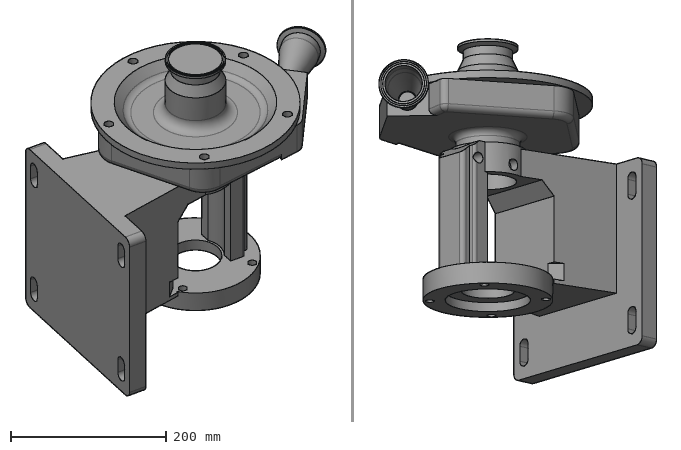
import cadquery as cq
import math


PLATE_SIZE = 250.0
PLATE_THICKNESS = 25.0
PLATE_BACK_Y = -180.0
PLATE_FRONT_Y = PLATE_BACK_Y + PLATE_THICKNESS
PLATE_CORNER_RADIUS = 10.0
SLOT_WIDTH = 16.0
SLOT_LENGTH = 36.0
SLOT_PITCH_X = 210.0
SLOT_PITCH_Z = 180.0

RING_RADIUS = 50.0
RING_TOP_Z = 3.0
RING_BOTTOM_Z = -36.7
BORE_RADIUS = 37.2
RING_HOLE_DIAMETER = 15.0
RING_HOLE_Z = -24.0
MOTOR_FLANGE_RADIUS = 83.7
MOTOR_FLANGE_TOP_Z = -167.0
MOTOR_FLANGE_THICKNESS = 28.0
MOTOR_FLANGE_BOTTOM_Z = MOTOR_FLANGE_TOP_Z - MOTOR_FLANGE_THICKNESS
MOTOR_BORE_RADIUS = 34.0
MOTOR_BOLT_CIRCLE_RADIUS = 75.0
MOTOR_BOLT_COUNT = 4
MOTOR_BOLT_START_ANGLE = 45.0
MOTOR_BOLT_DIAMETER = 11.5
MOTOR_SPIGOT_RADIUS = 55.0
MOTOR_SPIGOT_DEPTH = 12.0

WEB_PLATE_HALF_WIDTH = 75.0
WEB_RING_HALF_WIDTH = 47.8
WEB_RING_Y = -14.6
WEB_INNER_Y = -63.3
WEB_BOTTOM_Z = -172.7
WEB_CHAMFER_Y = 17.7
WEB_CHAMFER_Z = 19.3
BOLT_RELIEF_DEPTH = 14.5
BOLT_RELIEF_TOP_Z = -144.0

COLUMN_INNER_Y = 31.6
COLUMN_HALF_WIDTH = 35.0
COLUMN_STEP_Y = 54.0
COLUMN_STEP_FILLET = 4.2
COLUMN_RIB_HALF_WIDTH = 25.0
COLUMN_OUTER_Y = 65.5
COLUMN_RIB_FILLET = 5.9
COLUMN_BEVEL_Y = 19.8
COLUMN_BEVEL_Z = 15.6
COLUMN_HOLE_DIAMETER = 14.2
COLUMN_HOLE_Y = 46.7
COLUMN_HOLE_Z = -20.0

CASING_BOTTOM_Z = 23.2
CASING_TOP_Z = 65.5
CASING_APOTHEM = 114.3
CASING_FIRST_NORMAL = 9.0
CASING_SIDES = 5
CASING_CORNER_RADIUS = 34.0
OUTLET_SIDE_APOTHEM = 120.5
OUTLET_SIDE_CORNER_RADIUS = 10.0
CASING_BOTTOM_FILLET = 8.6
OUTLET_WALL_NORMAL = 54.0
OUTLET_WALL_DISTANCE = 138.9
OUTLET_WALL_CORNER_RADIUS = 20.0
NECK_RADIUS = 41.4
NECK_FLARE_RADIUS = 9.2

FLANGE_RADIUS = 135.0
FLANGE_THICKNESS = 10.0
FLANGE_TOP_Z = CASING_TOP_Z + FLANGE_THICKNESS
FLANGE_BOLT_CIRCLE_RADIUS = 121.6
FLANGE_BOLT_DIAMETER = 12.5
DISH_DEPTH = 16.2
DISH_RIM_RADIUS = 104.8
DISH_FLOOR_RADIUS = 83.4
DISH_CORNER_RADIUS = 14.0
DISH_SLOPE = 45.0

INLET_RADIUS = 39.2
INLET_ROOT_RADIUS = 15.0
INLET_SHOULDER_Z = 110.3
INLET_NECK_RADIUS = 32.0
INLET_NECK_Z = 125.7
INLET_TOP_Z = 144.0
INLET_FERRULE_RADIUS = 39.0
INLET_FERRULE_EDGE = 3.4
INLET_FERRULE_HEIGHT = 7.0
INLET_GROOVE_INNER_RADIUS = 34.7
INLET_GROOVE_OUTER_RADIUS = 37.0
FERRULE_GROOVE_DEPTH = 1.0

OUTLET_DIRECTION = 135.0
OUTLET_FACE_DISTANCE = 109.5
OUTLET_AXIS_OFFSET = 97.0
OUTLET_AXIS_Z = 43.2
OUTLET_STUB_RADIUS = 12.0
OUTLET_STUB_LENGTH = 3.5
OUTLET_SMALL_RADIUS = 13.7
OUTLET_TUBE_RADIUS = 25.8
OUTLET_CONE_END = 67.0
OUTLET_NECK_END = 79.3
OUTLET_FERRULE_RADIUS = 32.0
OUTLET_FERRULE_EDGE = 3.0
OUTLET_LENGTH = 84.3
OUTLET_BORE_RADIUS = 24.0
OUTLET_BORE_DEPTH = 14.6
OUTLET_BORE_THROAT_RADIUS = 21.9
OUTLET_BORE_THROAT_DEPTH = 26.0
OUTLET_BORE_END_RADIUS = 11.0
OUTLET_GROOVE_INNER_RADIUS = 27.0
OUTLET_GROOVE_OUTER_RADIUS = 29.5


def cylinder(radius, bottom_z, top_z):
    return cq.Workplane("XY").workplane(offset=bottom_z).circle(radius).extrude(top_z - bottom_z)


def direction(angle):
    radians = math.radians(angle)
    return math.cos(radians), math.sin(radians)


def line_crossing(first, second):
    """Crossing point of two lines, each given as (normal angle, distance from the axis)."""
    (ax, ay), (bx, by) = direction(first[0]), direction(second[0])
    determinant = ax * by - ay * bx
    x = (first[1] * by - second[1] * ay) / determinant
    y = (ax * second[1] - bx * first[1]) / determinant
    return x, y


def mounting_plate():
    plate = (
        cq.Workplane("XZ", origin=(0, PLATE_BACK_Y, -PLATE_SIZE / 2))
        .rect(PLATE_SIZE, PLATE_SIZE)
        .extrude(-PLATE_THICKNESS)
        .edges("|Y")
        .fillet(PLATE_CORNER_RADIUS)
    )
    slots = (
        cq.Workplane("XZ", origin=(0, PLATE_BACK_Y, -PLATE_SIZE / 2))
        .rect(SLOT_PITCH_X, SLOT_PITCH_Z, forConstruction=True)
        .vertices()
        .slot2D(SLOT_LENGTH, SLOT_WIDTH, 90)
        .extrude(-PLATE_THICKNESS)
    )
    return plate.cut(slots)


def web():
    """Side profile of the web trimmed to its tapered plan, with its two corners cut clear of bolts."""
    profile = (
        cq.Workplane("YZ")
        .moveTo(PLATE_FRONT_Y, 0)
        .lineTo(WEB_RING_Y, 0)
        .lineTo(WEB_RING_Y, RING_BOTTOM_Z)
        .lineTo(WEB_INNER_Y + WEB_CHAMFER_Y, RING_BOTTOM_Z)
        .lineTo(WEB_INNER_Y, RING_BOTTOM_Z - WEB_CHAMFER_Z)
        .lineTo(WEB_INNER_Y, WEB_BOTTOM_Z)
        .lineTo(PLATE_FRONT_Y, WEB_BOTTOM_Z)
        .close()
        .extrude(WEB_PLATE_HALF_WIDTH, both=True)
    )
    plan = (
        cq.Workplane("XY", origin=(0, 0, WEB_BOTTOM_Z))
        .polyline([
            (-WEB_PLATE_HALF_WIDTH, PLATE_FRONT_Y),
            (WEB_PLATE_HALF_WIDTH, PLATE_FRONT_Y),
            (WEB_RING_HALF_WIDTH, WEB_RING_Y),
            (-WEB_RING_HALF_WIDTH, WEB_RING_Y),
        ])
        .close()
        .extrude(-WEB_BOTTOM_Z)
    )
    body = profile.intersect(plan)

    taper = (WEB_PLATE_HALF_WIDTH - WEB_RING_HALF_WIDTH) / (WEB_RING_Y - PLATE_FRONT_Y)
    relief_y = WEB_INNER_Y - BOLT_RELIEF_DEPTH
    relief_x = WEB_RING_HALF_WIDTH + taper * (WEB_RING_Y - relief_y)
    for side in (-1, 1):
        relief = (
            cq.Workplane("XY", origin=(0, 0, MOTOR_FLANGE_TOP_Z))
            .moveTo(side * relief_x, relief_y)
            .lineTo(side * (relief_x - BOLT_RELIEF_DEPTH), WEB_INNER_Y)
            .lineTo(side * relief_x, WEB_INNER_Y)
            .close()
            .extrude(BOLT_RELIEF_TOP_Z - MOTOR_FLANGE_TOP_Z)
        )
        body = body.cut(relief)
    return body


def column():
    height = RING_TOP_Z - MOTOR_FLANGE_TOP_Z
    base = (
        cq.Workplane("XY", origin=(0, 0, MOTOR_FLANGE_TOP_Z))
        .moveTo(-COLUMN_HALF_WIDTH, COLUMN_INNER_Y)
        .lineTo(COLUMN_HALF_WIDTH, COLUMN_INNER_Y)
        .lineTo(COLUMN_HALF_WIDTH, COLUMN_STEP_Y)
        .lineTo(-COLUMN_HALF_WIDTH, COLUMN_STEP_Y)
        .close()
        .extrude(height)
        .edges("|Z and >Y")
        .fillet(COLUMN_STEP_FILLET)
    )
    rib = (
        cq.Workplane("XY", origin=(0, 0, MOTOR_FLANGE_TOP_Z))
        .moveTo(-COLUMN_RIB_HALF_WIDTH, COLUMN_INNER_Y)
        .lineTo(COLUMN_RIB_HALF_WIDTH, COLUMN_INNER_Y)
        .lineTo(COLUMN_RIB_HALF_WIDTH, COLUMN_OUTER_Y)
        .lineTo(-COLUMN_RIB_HALF_WIDTH, COLUMN_OUTER_Y)
        .close()
        .extrude(height)
        .edges("|Z and >Y")
        .fillet(COLUMN_RIB_FILLET)
    )
    bevel = (
        cq.Workplane("YZ")
        .moveTo(COLUMN_OUTER_Y - COLUMN_BEVEL_Y, RING_TOP_Z)
        .lineTo(COLUMN_OUTER_Y, RING_TOP_Z)
        .lineTo(COLUMN_OUTER_Y, RING_TOP_Z - COLUMN_BEVEL_Z)
        .close()
        .extrude(COLUMN_HALF_WIDTH, both=True)
    )
    return base.union(rib).cut(bevel)


def motor_flange():
    """Drilled flange with a centring recess for the motor spigot underneath."""
    flange = cylinder(MOTOR_FLANGE_RADIUS, MOTOR_FLANGE_BOTTOM_Z, MOTOR_FLANGE_TOP_Z)
    bolt_holes = (
        cq.Workplane("XY", origin=(0, 0, MOTOR_FLANGE_BOTTOM_Z))
        .polarArray(MOTOR_BOLT_CIRCLE_RADIUS, MOTOR_BOLT_START_ANGLE, 360, MOTOR_BOLT_COUNT)
        .circle(MOTOR_BOLT_DIAMETER / 2)
        .extrude(MOTOR_FLANGE_THICKNESS)
    )
    bore = cylinder(MOTOR_BORE_RADIUS, MOTOR_FLANGE_BOTTOM_Z, MOTOR_FLANGE_TOP_Z)
    spigot_recess = cylinder(
        MOTOR_SPIGOT_RADIUS, MOTOR_FLANGE_BOTTOM_Z, MOTOR_FLANGE_BOTTOM_Z + MOTOR_SPIGOT_DEPTH
    )
    return flange.cut(bolt_holes).cut(bore).cut(spigot_recess)


def bracket():
    """Plate, web, ring, column and motor flange, bored out around the shaft."""
    ring = cylinder(RING_RADIUS, RING_BOTTOM_Z, RING_TOP_Z)
    bore = cylinder(BORE_RADIUS, MOTOR_FLANGE_TOP_Z, RING_TOP_Z)
    ring_hole = (
        cq.Workplane("YZ")
        .center(0, RING_HOLE_Z)
        .circle(RING_HOLE_DIAMETER / 2)
        .extrude(-RING_RADIUS)
    )
    column_hole = (
        cq.Workplane("YZ")
        .center(COLUMN_HOLE_Y, COLUMN_HOLE_Z)
        .circle(COLUMN_HOLE_DIAMETER / 2)
        .extrude(COLUMN_HALF_WIDTH, both=True)
    )
    upper = ring.union(web()).union(column()).cut(bore).cut(ring_hole).cut(column_hole)
    return mounting_plate().union(upper).union(motor_flange())


def casing_body():
    """Rounded pentagon; the side beside the outlet stands further out than the others."""
    pitch = 360 / CASING_SIDES
    sides = [(CASING_FIRST_NORMAL + pitch * i, CASING_APOTHEM) for i in range(CASING_SIDES)]
    sides[1] = (sides[1][0], OUTLET_SIDE_APOTHEM)
    corners = [line_crossing(sides[i], sides[(i + 1) % CASING_SIDES]) for i in range(CASING_SIDES)]
    body = (
        cq.Workplane("XY", origin=(0, 0, CASING_BOTTOM_Z))
        .polyline(corners)
        .close()
        .extrude(CASING_TOP_Z - CASING_BOTTOM_Z)
    )
    mid_z = (CASING_BOTTOM_Z + CASING_TOP_Z) / 2
    outlet_corner = cq.selectors.NearestToPointSelector((*corners[1], mid_z))
    body = body.edges(outlet_corner).fillet(OUTLET_SIDE_CORNER_RADIUS)
    for corner in corners[:1] + corners[2:]:
        body = body.edges(cq.selectors.NearestToPointSelector((*corner, mid_z))).fillet(CASING_CORNER_RADIUS)
    return body.faces("<Z").edges().fillet(CASING_BOTTOM_FILLET)


def outlet_block():
    face = (OUTLET_DIRECTION, OUTLET_FACE_DISTANCE)
    wall = (OUTLET_WALL_NORMAL, OUTLET_WALL_DISTANCE)
    side = (CASING_FIRST_NORMAL, CASING_APOTHEM)
    inner_side = (CASING_FIRST_NORMAL + 360 / CASING_SIDES, CASING_APOTHEM - CASING_CORNER_RADIUS)
    corner = line_crossing(wall, side)
    return (
        cq.Workplane("XY", origin=(0, 0, CASING_BOTTOM_Z))
        .polyline([
            line_crossing(inner_side, face),
            line_crossing(face, wall),
            corner,
            line_crossing(side, inner_side),
        ])
        .close()
        .extrude(CASING_TOP_Z - CASING_BOTTOM_Z)
        .edges(cq.selectors.NearestToPointSelector((*corner, (CASING_BOTTOM_Z + CASING_TOP_Z) / 2)))
        .fillet(OUTLET_WALL_CORNER_RADIUS)
    )


def neck():
    """Flared neck joining the casing to the ring."""
    flare_z = CASING_BOTTOM_Z - NECK_FLARE_RADIUS
    flare_offset = NECK_FLARE_RADIUS * (1 - math.sqrt(0.5))
    return (
        cq.Workplane("XZ")
        .moveTo(0, RING_TOP_Z)
        .lineTo(NECK_RADIUS, RING_TOP_Z)
        .lineTo(NECK_RADIUS, flare_z)
        .threePointArc(
            (NECK_RADIUS + flare_offset, CASING_BOTTOM_Z - flare_offset),
            (NECK_RADIUS + NECK_FLARE_RADIUS, CASING_BOTTOM_Z),
        )
        .lineTo(0, CASING_BOTTOM_Z)
        .close()
        .revolve(360, (0, 0, 0), (0, 1, 0))
    )


def dish():
    """Recess in the flange front: sloped rim, rounded corner, flat floor and flared inlet root."""
    floor_z = FLANGE_TOP_Z - DISH_DEPTH
    nx, nz = direction(DISH_SLOPE)
    mx, mz = direction(DISH_SLOPE / 2)
    arc_end = (DISH_FLOOR_RADIUS + DISH_CORNER_RADIUS * nz, floor_z + DISH_CORNER_RADIUS * (1 - nx))
    arc_mid = (DISH_FLOOR_RADIUS + DISH_CORNER_RADIUS * mz, floor_z + DISH_CORNER_RADIUS * (1 - mx))
    root_offset = INLET_ROOT_RADIUS * (1 - math.sqrt(0.5))
    return (
        cq.Workplane("XZ")
        .moveTo(INLET_RADIUS, FLANGE_TOP_Z)
        .lineTo(DISH_RIM_RADIUS, FLANGE_TOP_Z)
        .lineTo(*arc_end)
        .threePointArc(arc_mid, (DISH_FLOOR_RADIUS, floor_z))
        .lineTo(INLET_RADIUS + INLET_ROOT_RADIUS, floor_z)
        .threePointArc(
            (INLET_RADIUS + root_offset, floor_z + root_offset),
            (INLET_RADIUS, floor_z + INLET_ROOT_RADIUS),
        )
        .close()
        .revolve(360, (0, 0, 0), (0, 1, 0))
    )


def flange_bolt_holes():
    """One hole above each corner of the pentagon."""
    first_angle = CASING_FIRST_NORMAL + 180 / CASING_SIDES
    return (
        cq.Workplane("XY", origin=(0, 0, CASING_TOP_Z))
        .polarArray(FLANGE_BOLT_CIRCLE_RADIUS, first_angle, 360, CASING_SIDES)
        .circle(FLANGE_BOLT_DIAMETER / 2)
        .extrude(FLANGE_THICKNESS)
    )


def inlet_spigot():
    spigot = (
        cq.Workplane("XZ")
        .moveTo(0, CASING_BOTTOM_Z)
        .lineTo(INLET_RADIUS, CASING_BOTTOM_Z)
        .lineTo(INLET_RADIUS, INLET_SHOULDER_Z)
        .lineTo(INLET_NECK_RADIUS, INLET_NECK_Z)
        .lineTo(INLET_NECK_RADIUS, INLET_TOP_Z - INLET_FERRULE_HEIGHT)
        .lineTo(INLET_FERRULE_RADIUS, INLET_TOP_Z - INLET_FERRULE_EDGE)
        .lineTo(INLET_FERRULE_RADIUS, INLET_TOP_Z)
        .lineTo(0, INLET_TOP_Z)
        .close()
        .revolve(360, (0, 0, 0), (0, 1, 0))
    )
    groove = (
        cq.Workplane("XY", origin=(0, 0, INLET_TOP_Z - FERRULE_GROOVE_DEPTH))
        .circle(INLET_GROOVE_OUTER_RADIUS)
        .circle(INLET_GROOVE_INNER_RADIUS)
        .extrude(FERRULE_GROOVE_DEPTH)
    )
    return spigot.cut(groove)


def outlet_spigot():
    """Conical reducer with a clamp ferrule, square to the outlet face of the block."""
    nx, ny = direction(OUTLET_DIRECTION)
    tx, ty = direction(OUTLET_DIRECTION - 90)
    origin = (
        OUTLET_FACE_DISTANCE * nx + OUTLET_AXIS_OFFSET * tx,
        OUTLET_FACE_DISTANCE * ny + OUTLET_AXIS_OFFSET * ty,
        OUTLET_AXIS_Z,
    )
    plane = cq.Plane(origin=origin, xDir=(tx, ty, 0), normal=(0, 0, 1))
    body = (
        cq.Workplane(plane)
        .lineTo(OUTLET_STUB_RADIUS, 0)
        .lineTo(OUTLET_STUB_RADIUS, OUTLET_STUB_LENGTH)
        .lineTo(OUTLET_SMALL_RADIUS, OUTLET_STUB_LENGTH)
        .lineTo(OUTLET_TUBE_RADIUS, OUTLET_CONE_END)
        .lineTo(OUTLET_TUBE_RADIUS, OUTLET_NECK_END)
        .lineTo(OUTLET_FERRULE_RADIUS, OUTLET_LENGTH - OUTLET_FERRULE_EDGE)
        .lineTo(OUTLET_FERRULE_RADIUS, OUTLET_LENGTH)
        .lineTo(0, OUTLET_LENGTH)
        .close()
        .revolve(360, (0, 0, 0), (0, 1, 0))
    )
    bore = (
        cq.Workplane(plane)
        .moveTo(0, OUTLET_STUB_LENGTH)
        .lineTo(OUTLET_BORE_END_RADIUS, OUTLET_STUB_LENGTH)
        .lineTo(OUTLET_BORE_THROAT_RADIUS, OUTLET_LENGTH - OUTLET_BORE_THROAT_DEPTH)
        .lineTo(OUTLET_BORE_RADIUS, OUTLET_LENGTH - OUTLET_BORE_DEPTH)
        .lineTo(OUTLET_BORE_RADIUS, OUTLET_LENGTH)
        .lineTo(0, OUTLET_LENGTH)
        .close()
        .revolve(360, (0, 0, 0), (0, 1, 0))
    )
    groove = (
        cq.Workplane(plane)
        .moveTo(OUTLET_GROOVE_INNER_RADIUS, OUTLET_LENGTH)
        .lineTo(OUTLET_GROOVE_OUTER_RADIUS, OUTLET_LENGTH)
        .lineTo(OUTLET_GROOVE_OUTER_RADIUS, OUTLET_LENGTH - FERRULE_GROOVE_DEPTH)
        .lineTo(OUTLET_GROOVE_INNER_RADIUS, OUTLET_LENGTH - FERRULE_GROOVE_DEPTH)
        .close()
        .revolve(360, (0, 0, 0), (0, 1, 0))
    )
    return body.cut(bore).cut(groove)


def pump_head():
    flange = cylinder(FLANGE_RADIUS, CASING_TOP_Z, FLANGE_TOP_Z)
    casing = casing_body().union(outlet_block()).union(flange)
    casing = casing.cut(dish()).cut(flange_bolt_holes())
    return casing.union(neck()).union(inlet_spigot()).union(outlet_spigot())


result = bracket().union(pump_head())